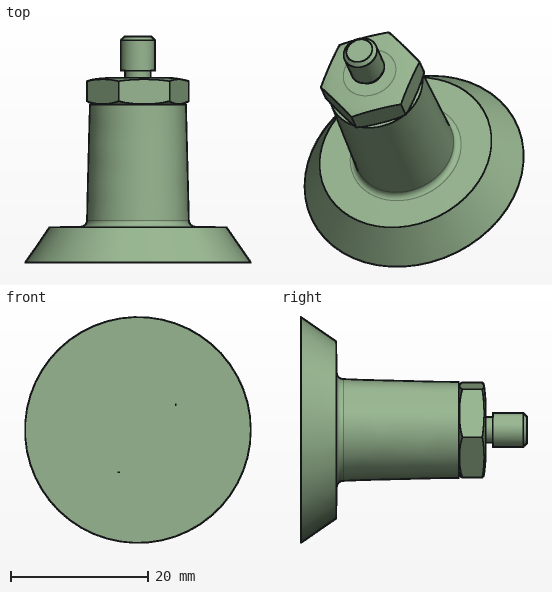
import cadquery as cq
import math

total_length = 33.0

rim_radius = 16.5
shoulder_radius = 12.95
shoulder_height = 5.15
cup_height = 5.25

fillet_radius = 0.9
body_base_radius = 7.45
body_base_height = cup_height + fillet_radius
body_top_radius = 7.03
body_top_height = 23.05

nut_top_height = 27.0
nut_across_flats = 13.0
nut_turn = 8.0
nut_corner_radius = nut_across_flats / 2 / math.cos(math.radians(30))
nut_corner_drop = 0.53
nut_upper_face_radius = 3.95
nut_lower_face_radius = 5.6

stud_radius = 5.0 / 2
stud_chamfer = 0.55
neck_radius = 3.8 / 2
neck_top_height = 28.02


def make_cup_and_body():
    profile = (
        cq.Workplane("XY")
        .lineTo(rim_radius, 0)
        .lineTo(shoulder_radius, shoulder_height)
        .lineTo(body_base_radius + fillet_radius, cup_height)
        .radiusArc((body_base_radius, body_base_height), fillet_radius)
        .lineTo(body_top_radius, body_top_height)
        .lineTo(0, body_top_height)
        .close()
    )
    return profile.revolve(360, (0, 0), (0, 1))


def rounding_radius(face_radius):
    """Radius of an arc tangent to the nut face that falls by the corner drop at the corners."""
    reach = nut_corner_radius - face_radius
    return (reach**2 + nut_corner_drop**2) / (2 * nut_corner_drop)


def make_nut():
    hexagon = (
        cq.Workplane("XZ", origin=(0, body_top_height, 0))
        .polygon(6, 2 * nut_corner_radius)
        .extrude(body_top_height - nut_top_height)
        .rotate((0, 0, 0), (0, 1, 0), nut_turn)
    )
    envelope = (
        cq.Workplane("XY")
        .moveTo(0, body_top_height)
        .lineTo(nut_lower_face_radius, body_top_height)
        .radiusArc(
            (nut_corner_radius, body_top_height + nut_corner_drop),
            -rounding_radius(nut_lower_face_radius),
        )
        .lineTo(nut_corner_radius, nut_top_height - nut_corner_drop)
        .radiusArc(
            (nut_upper_face_radius, nut_top_height),
            -rounding_radius(nut_upper_face_radius),
        )
        .lineTo(0, nut_top_height)
        .close()
        .revolve(360, (0, 0), (0, 1))
    )
    return hexagon.intersect(envelope)


def make_stud():
    profile = (
        cq.Workplane("XY")
        .moveTo(0, nut_top_height)
        .lineTo(neck_radius, nut_top_height)
        .lineTo(neck_radius, neck_top_height)
        .lineTo(stud_radius, neck_top_height)
        .lineTo(stud_radius, total_length - stud_chamfer)
        .lineTo(stud_radius - stud_chamfer, total_length)
        .lineTo(0, total_length)
        .close()
    )
    return profile.revolve(360, (0, 0), (0, 1))


result = make_cup_and_body().union(make_nut()).union(make_stud())